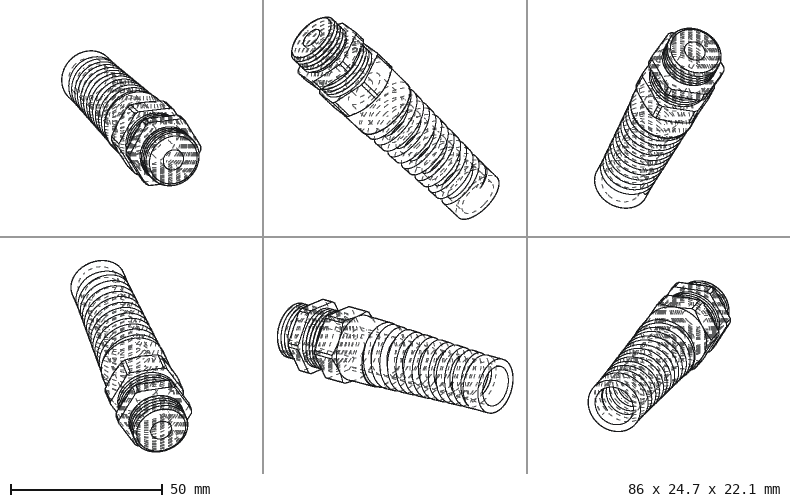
import cadquery as cq


sleeve_end = 6.3
dome_start = 47.9
hex_start = 58.55
hex_end = 66.8
locknut_start = 73.8
locknut_end = 77.9
overall_length = 85.85

flex_bore_diameter = 13.4
cable_bore_diameter = 7.0

sleeve_diameter = 18.4
coil_end_diameter = 21.4
dome_start_diameter = 21.8
coil_pitch = 6.7
coil_band_width = 3.5
coil_turns = 7
coil_start = 3.9
trim_allowance = 0.9

hex_sides = 6
across_flats = 22.1
across_corners = 24.7
hex_lead_in = 0.8

rear_thread_crest = 20.0
front_thread_crest = 18.55
rear_thread_root = 17.7
front_thread_root = 16.65
thread_turns = 5
front_thread_pitch = 1.5
front_thread_relief = 0.6


def revolve_about_x(points):
    """Solid of revolution from (x, radius) points, closed down to the X axis."""
    outline = [(points[0][0], 0)] + points + [(points[-1][0], 0)]
    return cq.Workplane("XZ").polyline(outline).close().revolve(360, (0, 0, 0), (1, 0, 0))


def frustum(start, end, start_diameter, end_diameter):
    return revolve_about_x([(start, start_diameter / 2), (end, end_diameter / 2)])


def cylinder(start, end, diameter):
    return frustum(start, end, diameter, diameter)


def hexagonal_prism(start, end, flats_distance):
    """Hexagonal prism with two of its flats facing +Y and -Y."""
    blank = cq.Workplane("YZ").workplane(offset=start)
    return blank.polygon(hex_sides, flats_distance, circumscribed=True).extrude(end - start)


def hexagon(start, end):
    """Hexagon with flats at +Z and -Z and its six corners cut flat."""
    half_side_angle = 180 / hex_sides
    sharp_hexagon = hexagonal_prism(start, end, across_flats).rotate((0, 0, 0), (1, 0, 0), half_side_angle)
    return sharp_hexagon.intersect(hexagonal_prism(start, end, across_corners))


def gland_nut():
    """Hexagon whose corners lead in along a cone from the dome."""
    lead_in = revolve_about_x([
        (hex_start, across_flats / 2),
        (hex_start + hex_lead_in, across_corners / 2),
        (hex_start + hex_lead_in, across_corners),
        (hex_end, across_corners),
    ])
    return hexagon(hex_start, hex_end).intersect(lead_in)


def rear_thread():
    """V-shaped rings between nut and locknut, with a crest against each face."""
    pitch = (locknut_start - hex_end) / thread_turns
    points = [(hex_end, rear_thread_crest / 2)]
    for turn in range(thread_turns):
        points.append((hex_end + (turn + 0.5) * pitch, rear_thread_root / 2))
        points.append((hex_end + (turn + 1) * pitch, rear_thread_crest / 2))
    return revolve_about_x(points)


def front_thread():
    """V-shaped rings with a short plain neck at both ends."""
    first_ring = locknut_end + front_thread_relief
    points = [(locknut_end, front_thread_root / 2), (first_ring, front_thread_root / 2)]
    for turn in range(thread_turns):
        points.append((first_ring + (turn + 0.5) * front_thread_pitch, front_thread_crest / 2))
        points.append((first_ring + (turn + 1) * front_thread_pitch, front_thread_root / 2))
    points.append((overall_length, front_thread_root / 2))
    return revolve_about_x(points)


def coil_turn():
    """One right-hand turn of oversize helical band, starting and ending at +Z."""
    inner_radius = flex_bore_diameter / 2 - trim_allowance
    outer_radius = coil_end_diameter / 2 + trim_allowance
    path = cq.Wire.makeHelix(coil_pitch, coil_pitch, inner_radius)
    band = (
        cq.Workplane("XZ")
        .center((inner_radius + outer_radius) / 2, 0)
        .rect(outer_radius - inner_radius, coil_band_width)
        .sweep(cq.Workplane(path), isFrenet=True)
    )
    return band.rotate((0, 0, 0), (0, 1, 0), 90).rotate((0, 0, 0), (1, 0, 0), 180)


def flexible_end():
    """Sleeve and dome joined by the coil, which is trimmed to a hollow cone."""
    tube = frustum(sleeve_end, dome_start, sleeve_diameter, coil_end_diameter).cut(
        cylinder(sleeve_end, dome_start, flex_bore_diameter)
    )
    sleeve = cylinder(0, sleeve_end, sleeve_diameter)
    dome = frustum(dome_start, hex_start, dome_start_diameter, across_flats)
    flexible = sleeve.union(dome).cut(cylinder(0, hex_start, flex_bore_diameter))
    turn = coil_turn()
    for index in range(coil_turns):
        placed_turn = turn.translate((coil_start + index * coil_pitch, 0, 0))
        flexible = flexible.union(tube.intersect(placed_turn))
    return flexible


def fitting():
    """Gland nut, locknut and threads around the cable bore."""
    locknut = hexagon(locknut_start, locknut_end)
    solid = gland_nut().union(rear_thread()).union(locknut).union(front_thread())
    return solid.cut(cylinder(hex_start, overall_length, cable_bore_diameter))


result = flexible_end().union(fitting())